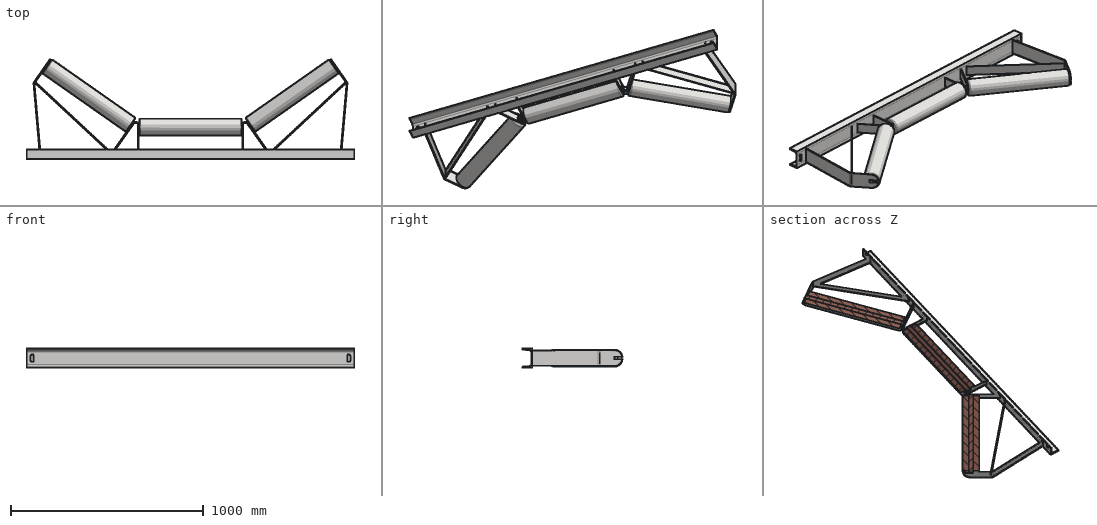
import math

import cadquery as cq

BEAM_LENGTH = 1700.0
BEAM_HEIGHT = 100.0
BEAM_DEPTH = 51.0
WEB_THICKNESS = 6.0
FLANGE_THICKNESS = 8.0
FLANGE_TAPER = 0.08
ROOT_RADIUS = 8.0
TIP_RADIUS = 4.2
MOUNT_SLOT_WIDTH = 15.0
MOUNT_SLOT_LENGTH = 37.0
MOUNT_SLOT_INSET = 29.0

ROLLER_LENGTH = 530.0
ROLLER_DIAMETER = 88.0
ROLLER_EDGE_RADIUS = 5.0
SHAFT_DIAMETER = 20.0
SHAFT_FLAT_WIDTH = 14.0
TROUGH_ANGLE = 35.0
CENTRE_ROLLER_Y = 167.0
WING_ROLLER_X = 527.0
WING_ROLLER_Y = 330.0

PLATE_THICKNESS = 6.0
OUTER_WIDTH = 80.0
INNER_WIDTH = 51.0
END_GAP = 2.5
TAB_BELOW_SHAFT = 110.0
TAB_BEND_RADIUS = 12.0
OUTER_FOOT_X = 782.0
LEG_ABOVE_SHAFT = 22.0
POST_ABOVE_SHAFT = 20.0
BRACE_THICKNESS = 5.0
BRACE_WIDTH = INNER_WIDTH
BRACE_FOOT_X = 434.0
BRACE_ABOVE_BEND = 7.0

MID_Z = BEAM_HEIGHT / 2
SIDES = (-1, 1)
PLATE_OFFSET = ROLLER_LENGTH / 2 + END_GAP + PLATE_THICKNESS / 2
SHAFT_LENGTH = 2 * PLATE_OFFSET + PLATE_THICKNESS
FLAT_LENGTH = END_GAP + PLATE_THICKNESS
TAB_END_RADIUS = OUTER_WIDTH / 2


def along_x(length):
    """Workplane square to X at the start of a shape of this length that is centred on X = 0."""
    return cq.Workplane("YZ", origin=(-length / 2, 0, 0))


def wing_point(along, up):
    """X, Y of a point on the -X wing: along its axis toward the middle, and square to the axis."""
    angle = math.radians(TROUGH_ANGLE)
    x = -WING_ROLLER_X + along * math.cos(angle) + up * math.sin(angle)
    y = WING_ROLLER_Y - along * math.sin(angle) + up * math.cos(angle)
    return x, y


def on_wing(shape):
    """Move a shape built along X about the origin onto the -X wing roller's axis."""
    tilted = shape.rotate((0, 0, 0), (0, 0, 1), -TROUGH_ANGLE)
    return tilted.translate((-WING_ROLLER_X, WING_ROLLER_Y, MID_Z))


def on_centre(shape):
    """Move a shape built along X about the origin onto the centre roller's axis."""
    return shape.translate((0, CENTRE_ROLLER_Y, MID_Z))


def lengthwise_edges(y, z):
    """Selector for the two beam edges along X at depth y, z from the bottom and z from the top."""
    margin = 0.2
    low = (-margin, y - margin, z - margin)
    high = (margin, y + margin, z + margin)
    low_mirrored = (-margin, y - margin, BEAM_HEIGHT - z - margin)
    high_mirrored = (margin, y + margin, BEAM_HEIGHT - z + margin)
    return cq.selectors.BoxSelector(low, high) + cq.selectors.BoxSelector(low_mirrored, high_mirrored)


def make_beam():
    root_drop = FLANGE_THICKNESS + FLANGE_TAPER * (BEAM_DEPTH / 2 - WEB_THICKNESS)
    tip_drop = FLANGE_THICKNESS - FLANGE_TAPER * BEAM_DEPTH / 2
    web_front = BEAM_DEPTH - WEB_THICKNESS
    profile = [
        (0, 0),
        (BEAM_DEPTH, 0),
        (BEAM_DEPTH, BEAM_HEIGHT),
        (0, BEAM_HEIGHT),
        (0, BEAM_HEIGHT - tip_drop),
        (web_front, BEAM_HEIGHT - root_drop),
        (web_front, root_drop),
        (0, tip_drop),
    ]
    beam = along_x(BEAM_LENGTH).polyline(profile).close().extrude(BEAM_LENGTH)
    beam = beam.edges(lengthwise_edges(web_front, root_drop)).fillet(ROOT_RADIUS)
    beam = beam.edges(lengthwise_edges(0, tip_drop)).fillet(TIP_RADIUS)
    slots = (
        cq.Workplane("XZ", origin=(0, BEAM_DEPTH, MID_Z))
        .pushPoints([(side * (BEAM_LENGTH / 2 - MOUNT_SLOT_INSET), 0) for side in SIDES])
        .slot2D(MOUNT_SLOT_LENGTH, MOUNT_SLOT_WIDTH, angle=90)
        .extrude(WEB_THICKNESS)
    )
    return beam.cut(slots)


def bent_bar(points, thickness, width, bend_radius=0):
    """Flat bar of constant thickness that follows a path in the XY plane."""
    path = cq.Wire.makePolygon([cq.Vector(x, y) for x, y in points])
    if bend_radius:
        path = path.fillet(bend_radius)
    outline = cq.Workplane("XY").add(path).toPending().offset2D(thickness / 2, "intersection")
    return outline.extrude(width / 2, both=True).translate((0, 0, MID_Z))


def straight_bar(start, end, thickness, width):
    """Flat bar between two points of the XY plane, with rounded ends centred on them."""
    run = end[0] - start[0]
    rise = end[1] - start[1]
    middle = (start[0] + run / 2, start[1] + rise / 2, MID_Z)
    return (
        cq.Workplane("XY", origin=middle)
        .slot2D(math.hypot(run, rise) + thickness, thickness, math.degrees(math.atan2(rise, run)))
        .extrude(width / 2, both=True)
    )


def shaft_notch(position, opening):
    """Cutter for the slot that holds a shaft end: closed below the shaft, open above it."""
    depth = SHAFT_DIAMETER / 2 + opening
    middle = (opening - SHAFT_DIAMETER / 2) / 2
    cutter = cq.Workplane("XY").box(2 * PLATE_THICKNESS, depth, SHAFT_FLAT_WIDTH)
    return cutter.translate((position, middle, 0))


def make_outer_bracket():
    """Post, tilted tab with a rounded end, and brace on the -X side."""
    shaft_seat = wing_point(-PLATE_OFFSET, 0)
    bend = wing_point(-PLATE_OFFSET, -TAB_BELOW_SHAFT)
    path = [(-OUTER_FOOT_X, BEAM_DEPTH), bend, shaft_seat]
    post = bent_bar(path, PLATE_THICKNESS, OUTER_WIDTH, TAB_BEND_RADIUS)
    brace_top = wing_point(-PLATE_OFFSET, BRACE_ABOVE_BEND - TAB_BELOW_SHAFT)
    brace = straight_bar((-BRACE_FOOT_X, BEAM_DEPTH), brace_top, BRACE_THICKNESS, BRACE_WIDTH)
    tab_end = along_x(PLATE_THICKNESS).circle(TAB_END_RADIUS).extrude(PLATE_THICKNESS)
    tab_end = on_wing(tab_end.translate((-PLATE_OFFSET, 0, 0)))
    notch = on_wing(shaft_notch(-PLATE_OFFSET, 2 * TAB_END_RADIUS))
    return post.union(tab_end).cut(notch).union(brace)


def make_inner_bracket():
    """Sloping leg and upright post, joined over the top, on the -X side."""
    seat_y = wing_point(PLATE_OFFSET, 0)[1]
    foot_drop = (seat_y - BEAM_DEPTH) / math.cos(math.radians(TROUGH_ANGLE))
    post_top = CENTRE_ROLLER_Y + POST_ABOVE_SHAFT
    path = [
        wing_point(PLATE_OFFSET, -foot_drop),
        wing_point(PLATE_OFFSET, LEG_ABOVE_SHAFT),
        (-PLATE_OFFSET, post_top),
        (-PLATE_OFFSET, BEAM_DEPTH),
    ]
    bracket = bent_bar(path, PLATE_THICKNESS, INNER_WIDTH)
    bracket = bracket.cut(on_wing(shaft_notch(PLATE_OFFSET, 2 * LEG_ABOVE_SHAFT)))
    return bracket.cut(on_centre(shaft_notch(-PLATE_OFFSET, 2 * POST_ABOVE_SHAFT)))


def make_frame():
    frame = make_beam()
    for bracket in (make_outer_bracket(), make_inner_bracket()):
        frame = frame.union(bracket).union(bracket.mirror("YZ"))
    return frame


def make_roller():
    roller = along_x(ROLLER_LENGTH).circle(ROLLER_DIAMETER / 2).extrude(ROLLER_LENGTH)
    roller = roller.edges("%CIRCLE").fillet(ROLLER_EDGE_RADIUS)
    return roller.faces("<X").workplane(centerOption="CenterOfBoundBox").hole(SHAFT_DIAMETER)


def make_shaft():
    shaft = along_x(SHAFT_LENGTH).circle(SHAFT_DIAMETER / 2).extrude(SHAFT_LENGTH)
    flat_depth = (SHAFT_DIAMETER - SHAFT_FLAT_WIDTH) / 2
    for end in SIDES:
        for face in SIDES:
            x = end * (SHAFT_LENGTH - FLAT_LENGTH) / 2
            z = face * (SHAFT_FLAT_WIDTH + flat_depth) / 2
            cutter = cq.Workplane("XY").box(FLAT_LENGTH, SHAFT_DIAMETER, flat_depth)
            shaft = shaft.cut(cutter.translate((x, 0, z)))
    return shaft


def in_three_places(shape):
    """Copies of a shape at the -X wing, the centre and the +X wing."""
    wing = on_wing(shape)
    return [wing, on_centre(shape), wing.mirror("YZ")]


frame = make_frame()
rollers = in_three_places(make_roller())
shafts = in_three_places(make_shaft())

result = cq.Compound.makeCompound([frame.val(), *[body.val() for body in rollers + shafts]])